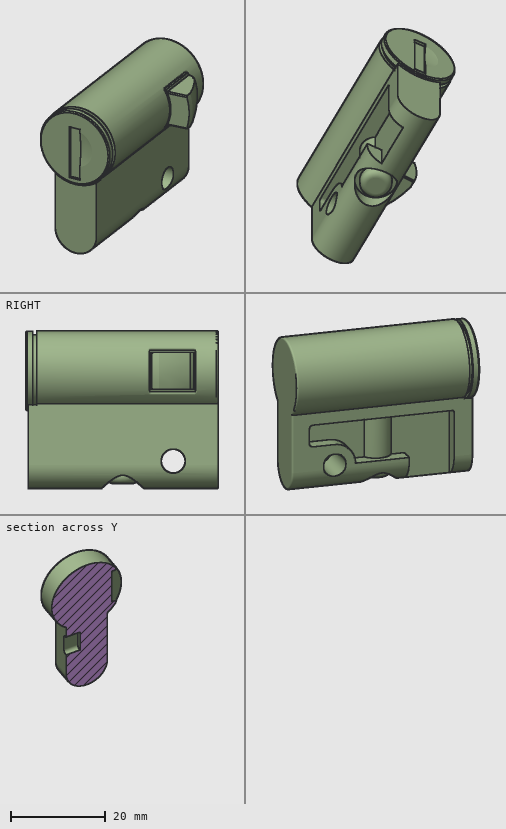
import cadquery as cq
import math


length = 40.55
barrel_radius = 8.5
barrel_front = 2.3
back_rounding = 0.4
neck_radius = 7.65
head_radius = 8.4
head_thickness = 1.5
head_chamfer = 0.3

height = 33.3
stem_width = 10.0
stem_radius = stem_width / 2
stem_front = 0.53
stem_bottom = barrel_radius - height
stem_round_z = stem_bottom + stem_radius
head_recess_radius = 8.7

keyway_width = 2.6
keyway_top = 4.7
keyway_bottom = -7.15
keyway_depth = 0.6
dimple_radius = 4.25
dimple_depth = 0.4

hole_y = 31.05
hole_z = -18.98
hole_diameter = 5.0

pocket_floor_x = -1.65
pocket_front = 4.62
pocket_back = 36.65
pocket_top = -9.53
lobe_bottom = -14.35
ledge_front = 14.55
pocket_corner = 0.77
pocket_corner_front = 0.5

pin_y = 20.45
pin_radius = 3.4
pin_bottom = -23.72
pin_rounding = 1.4
bore_radius = 4.5
bore_top = -21.1

window_floor_x = 6.1
window_front = 26.05
window_back = 35.75
window_height = 8.68
window_rim = 0.4
hub_front = 26.1
hub_back = 35.7
cam_thickness = 7.8
cam_chamfer = 0.3
cam_tip_radius = 12.77
cam_tip_front = 26.5
cam_tip_back = 28.05
cam_flank_middle = (11.7, 31.45)
cam_flank_back = (10.2, 34.65)
cam_shoulder = (9.45, 35.35)


def disc(radius, y_start, y_end):
    """Solid cylinder on the Y axis between two Y positions."""
    return cq.Workplane("XZ", origin=(0, y_start, 0)).circle(radius).extrude(y_start - y_end)


def block(x_start, x_end, y_start, y_end, z_start, z_end):
    """Box given by its limits along each axis."""
    size = (x_end - x_start, y_end - y_start, z_end - z_start)
    return cq.Workplane("XY").box(*size, centered=False).translate((x_start, y_start, z_start))


def upright(radius, z_start, z_end):
    """Vertical cylinder on the pin axis."""
    return cq.Workplane("XY", origin=(0, pin_y, z_start)).circle(radius).extrude(z_end - z_start)


def make_window():
    half = window_height / 2
    return block(window_floor_x, barrel_radius, window_front, window_back, -half, half)


def make_windowed_barrel():
    """Barrel with the cam window, whose outer rim is rounded over."""
    barrel = disc(barrel_radius, barrel_front, length).cut(make_window())
    half = window_height / 2 + window_rim
    rim = cq.selectors.BoxSelector(
        (window_floor_x + window_rim, window_front - window_rim, -half),
        (barrel_radius + window_rim, window_back + window_rim, half),
    )
    return barrel.edges(rim).fillet(window_rim)


def make_body():
    stem = (
        cq.Workplane("XZ", origin=(0, stem_front, 0))
        .moveTo(-stem_radius, 0)
        .lineTo(-stem_radius, stem_round_z)
        .threePointArc((0, stem_bottom), (stem_radius, stem_round_z))
        .lineTo(stem_radius, 0)
        .close()
        .extrude(stem_front - length)
    )
    stem = stem.cut(disc(head_recess_radius, 0, barrel_front))
    body = stem.union(make_windowed_barrel())
    return body.faces(">Y").edges().fillet(back_rounding)


def make_plug():
    neck = disc(neck_radius, head_thickness, barrel_front)
    head = disc(head_radius, 0, head_thickness).faces("<Y").edges().chamfer(head_chamfer)
    return head.union(neck)


def make_keyway():
    half_width = keyway_width / 2
    return block(-half_width, half_width, 0, keyway_depth, keyway_bottom, keyway_top)


def make_dimple():
    """Shallow spherical hollow, present only on the +X side of the keyway."""
    ball_radius = (dimple_radius**2 + dimple_depth**2) / (2 * dimple_depth)
    ball = cq.Workplane("XY").sphere(ball_radius).translate((0, dimple_depth - ball_radius, 0))
    right_half = block(0, dimple_radius, 0, dimple_depth, -dimple_radius, dimple_radius)
    return ball.intersect(right_half)


def make_hole():
    start = (-stem_radius, hole_y, hole_z)
    return cq.Workplane("YZ", origin=start).circle(hole_diameter / 2).extrude(stem_width)


def make_pocket():
    """L-shaped pocket, open at the stem bottom, curving round the fixing hole."""
    arc_radius = lobe_bottom - hole_z
    arc_mid = arc_radius * math.sqrt(0.5)
    outline = (
        cq.Workplane("YZ", origin=(-stem_radius, 0, 0))
        .moveTo(pocket_front, stem_bottom)
        .lineTo(pocket_front, pocket_top)
        .lineTo(pocket_back, pocket_top)
        .lineTo(pocket_back, lobe_bottom)
        .lineTo(hole_y, lobe_bottom)
        .threePointArc((hole_y - arc_mid, hole_z + arc_mid), (hole_y - arc_radius, hole_z))
        .lineTo(ledge_front, hole_z)
        .lineTo(ledge_front, stem_bottom)
        .close()
    )
    pocket = outline.extrude(stem_radius + pocket_floor_x)
    pocket = pocket.edges("|X and >Y").fillet(pocket_corner)
    return pocket.edges("|X and >Z and <Y").fillet(pocket_corner_front)


def make_pin():
    return upright(pin_radius, pin_bottom, pocket_top).faces("<Z").edges().fillet(pin_rounding)


def make_cam():
    """Hub segment filling the window and a curved wing turned about the barrel axis."""
    hub = disc(barrel_radius, hub_front, hub_back)
    turned_wing = (
        cq.Workplane("XY")
        .moveTo(0, hub_front)
        .lineTo(cam_tip_radius, hub_front)
        .lineTo(cam_tip_radius, cam_tip_back)
        .threePointArc(cam_flank_middle, cam_flank_back)
        .lineTo(*cam_shoulder)
        .lineTo(barrel_radius, hub_back)
        .lineTo(0, hub_back)
        .close()
        .revolve(360, (0, 0, 0), (0, 1, 0))
    )
    plate = (
        cq.Workplane("XY", origin=(0, 0, -cam_thickness / 2))
        .moveTo(window_floor_x, hub_front)
        .lineTo(cam_tip_radius, cam_tip_front)
        .lineTo(cam_tip_radius, hub_back)
        .lineTo(window_floor_x, hub_back)
        .close()
        .extrude(cam_thickness)
    )
    plate = plate.faces("<Y").edges("#Z").chamfer(cam_chamfer)
    hub_segment = hub.intersect(make_window())
    return hub_segment.union(turned_wing.intersect(plate))


result = (
    make_body()
    .union(make_plug())
    .cut(make_keyway())
    .cut(make_dimple())
    .cut(make_hole())
    .cut(make_pocket())
    .cut(upright(bore_radius, stem_bottom, bore_top))
    .union(make_pin())
    .union(make_cam())
)